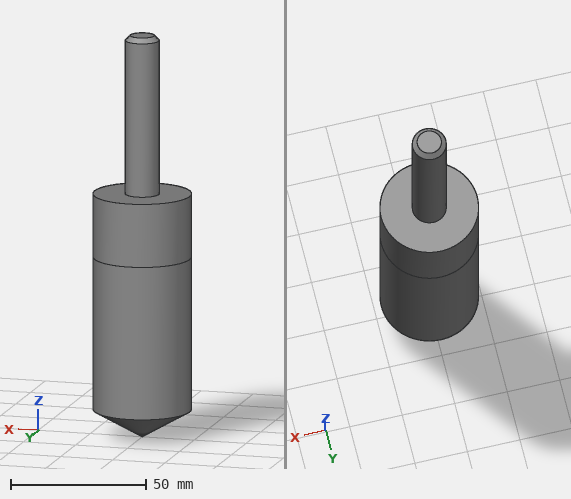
import cadquery as cq
import math

total_height = 152.4
body_diameter = 36.5
shank_diameter = 12.6
cone_angle = 120.0
joint_height = 68.5
shoulder_height = 92.4
shank_chamfer = 1.8

body_radius = body_diameter / 2
cone_height = body_radius / math.tan(math.radians(cone_angle / 2))


def make_tip_body():
    """Solid cylinder with a conical point at its lower end."""
    return (
        cq.Workplane("XZ")
        .moveTo(0, 0)
        .lineTo(body_radius, cone_height)
        .lineTo(body_radius, joint_height)
        .lineTo(0, joint_height)
        .close()
        .revolve(360, (0, 0, 0), (0, 1, 0))
    )


def make_shank_holder():
    """Cylindrical base with a thin shank, chamfered at its free end."""
    base = (
        cq.Workplane("XY")
        .workplane(offset=joint_height)
        .circle(body_radius)
        .extrude(shoulder_height - joint_height)
    )
    shank = (
        cq.Workplane("XY")
        .workplane(offset=shoulder_height)
        .circle(shank_diameter / 2)
        .extrude(total_height - shoulder_height)
        .faces(">Z")
        .chamfer(shank_chamfer)
    )
    return base.union(shank)


tip_body = make_tip_body()
shank_holder = make_shank_holder()

result = cq.Compound.makeCompound([tip_body.val(), shank_holder.val()])